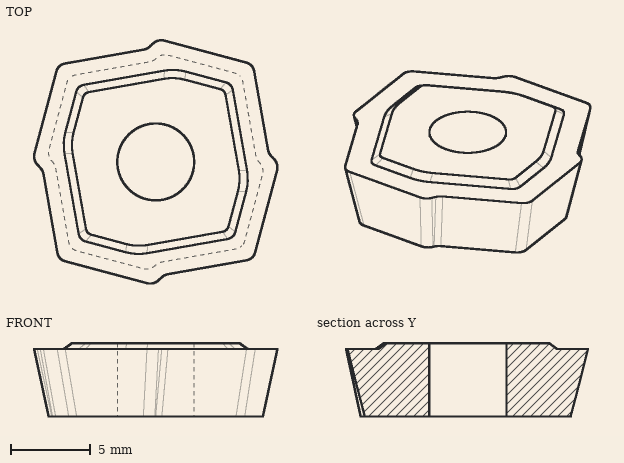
import cadquery as cq
import math

half_width = 7.62
total_height = 4.6
boss_height = 0.37
body_height = total_height - boss_height
hole_diameter = 4.8

rising_angle = 10.0
flank_angle = 43.0
falling_angle = -15.0

rising_distance = 7.06
nose_shift = 0.35
nose_radius = 0.76
corner_radius = 0.69
draft_angle = 11.0

boss_rising_distance = 5.54
boss_falling_distance = 5.95
boss_inset = 0.5
boss_bend_radius = 3.05
boss_base_corner_radius = 0.61
boss_top_corner_radius = 0.45

side_count = 4
quarter_turn = 360.0 / side_count


def outward_normal(angle):
    """Unit normal on the left of a line with the given direction."""
    radians = math.radians(angle)
    return -math.sin(radians), math.cos(radians)


def nose_side_distance(angle):
    """Distance from the axis to a side tangent to the nose arc."""
    normal_x, normal_y = outward_normal(angle)
    centre_y = half_width - nose_radius
    return nose_shift * normal_x + centre_y * normal_y + nose_radius


def line_crossing(first, second):
    """Crossing of two (angle, distance from axis) lines."""
    ax, ay = outward_normal(first[0])
    bx, by = outward_normal(second[0])
    determinant = ax * by - ay * bx
    x = (first[1] * by - second[1] * ay) / determinant
    y = (ax * second[1] - bx * first[1]) / determinant
    return cq.Vector(x, y)


def rounded_outline(quarter_lines, radii, inset, z):
    """Closed wire from quarter lines repeated around Z.

    Each radius rounds the corner at the end of the matching line;
    all lines are first moved inward by inset.
    """
    lines = []
    for turn in range(side_count):
        for angle, distance in quarter_lines:
            lines.append((angle - turn * quarter_turn, distance - inset))

    arcs = []
    for index, line in enumerate(lines):
        following = lines[(index + 1) % len(lines)]
        radius = radii[index % len(radii)]
        corner = line_crossing(line, following)
        normal = cq.Vector(*outward_normal(line[0]))
        next_normal = cq.Vector(*outward_normal(following[0]))
        turn_angle = (following[0] - line[0] + 180.0) % 360.0 - 180.0
        half_turn = math.radians(abs(turn_angle) / 2)
        tangent_length = radius * math.tan(half_turn)
        bisector = (normal + next_normal).normalized()
        side = 1 if turn_angle > 0 else -1
        middle = corner + bisector * (side * radius * (1 / math.cos(half_turn) - 1))
        start = corner - cq.Vector(normal.y, -normal.x) * tangent_length
        end = corner + cq.Vector(next_normal.y, -next_normal.x) * tangent_length
        arcs.append((start, middle, end))

    outline = cq.Workplane("XY").workplane(offset=z).moveTo(arcs[-1][2].x, arcs[-1][2].y)
    for start, middle, end in arcs:
        outline = outline.lineTo(start.x, start.y)
        outline = outline.threePointArc((middle.x, middle.y), (end.x, end.y))
    return outline.close().val()


def make_body():
    quarter_lines = [
        (rising_angle, rising_distance),
        (flank_angle, nose_side_distance(flank_angle)),
        (falling_angle, nose_side_distance(falling_angle)),
    ]
    radii = [nose_radius, nose_radius, corner_radius]
    draft_inset = body_height * math.tan(math.radians(draft_angle))
    bottom = rounded_outline(quarter_lines, radii, draft_inset, 0)
    top = rounded_outline(quarter_lines, radii, 0, body_height)
    return cq.Workplane(cq.Solid.makeLoft([bottom, top], True))


def make_boss():
    quarter_lines = [
        (rising_angle, boss_rising_distance),
        (falling_angle, boss_falling_distance),
    ]
    base_radii = [boss_bend_radius, boss_base_corner_radius]
    top_radii = [boss_bend_radius, boss_top_corner_radius]
    base = rounded_outline(quarter_lines, base_radii, 0, body_height)
    top = rounded_outline(quarter_lines, top_radii, boss_inset, total_height)
    return cq.Workplane(cq.Solid.makeLoft([base, top], True))


hole = cq.Workplane("XY").circle(hole_diameter / 2).extrude(total_height)
result = make_body().union(make_boss()).cut(hole)